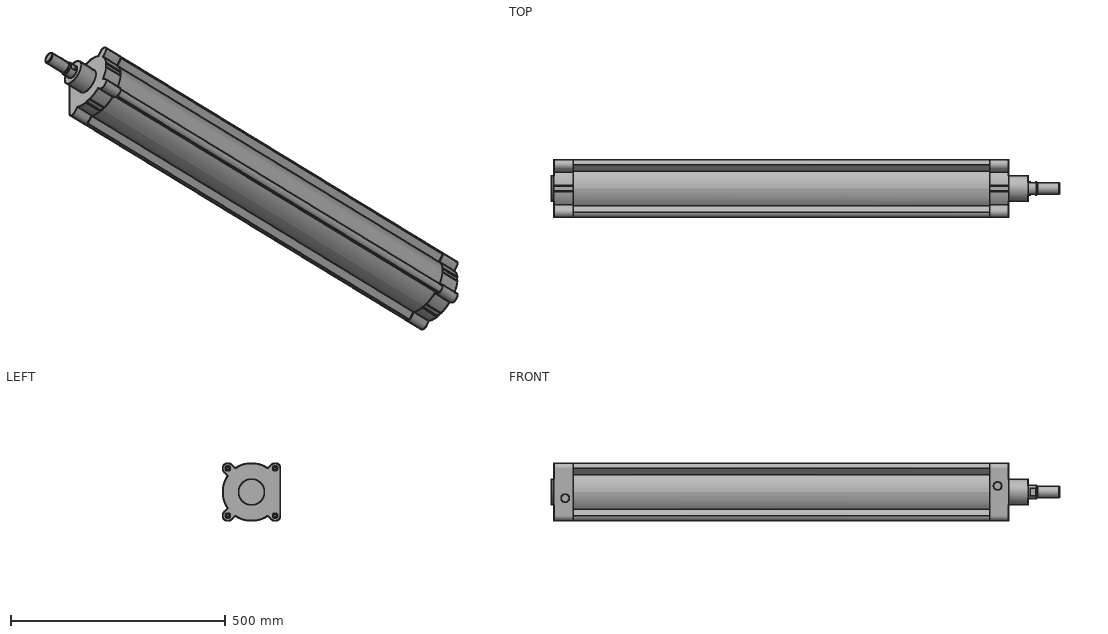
import cadquery as cq
import math

total_length = 1185.0
boss_height = 6.0
rear_cap_length = 45.0
front_cap_length = 44.0
front_face = 1066.0
neck_length = 45.0
thread_length = 51.0

tube_start = boss_height + rear_cap_length
tube_end = front_face - front_cap_length
neck_end = front_face + neck_length
shoulder = total_length - thread_length

half_width = 68.0
ear_diameter = 25.0
ear_radius = ear_diameter / 2
ear_center = half_width - ear_radius

boss_diameter = 60.0
boss_radius = boss_diameter / 2
neck_radius = boss_radius
groove_floor_width = 11.0
groove_mouth_width = 18.0
groove_depth = 1.0
screw_head_radius = 6.0
screw_head_depth = 12.0
screw_hole_radius = 4.0
port_radius = 10.0
port_depth = 12.0
port_offset = 14.0
rear_port_x = 32.0
front_port_x = 1040.0

barrel_diameter = 134.0
barrel_radius = barrel_diameter / 2
ridge_half_width = 8.9

rod_diameter = 32.0
thread_diameter = 27.0
width_across_flats = 27.0
rod_radius = rod_diameter / 2
thread_radius = thread_diameter / 2
flat_half_width = width_across_flats / 2
flat_start = 1116.0
flat_end = 1129.0
shoulder_chamfer = 4.0
thread_chamfer = 1.8


def section_plane(x):
    """Plane across the axis: its local axes are Y and Z, its normal is +X."""
    return cq.Workplane("YZ", origin=(x, 0, 0))


def disc(x, radius, length, y=0, z=0):
    """Cylinder along X, starting at x."""
    return section_plane(x).center(y, z).circle(radius).extrude(length)


def cap_blank(x, length):
    """Round block with four rounded ears on the diagonals and one flat side on -Y."""
    blank = disc(x, half_width, length)
    ear_reach = math.hypot(ear_center, ear_center)
    for angle in (45, 135):
        arms = (
            section_plane(x)
            .transformed(rotate=(0, 0, angle))
            .slot2D(2 * (ear_reach + ear_radius), 2 * ear_radius)
            .extrude(length)
        )
        blank = blank.union(arms)
    flat_side = (
        section_plane(x)
        .center(-half_width / 2, 0)
        .rect(half_width, 2 * ear_center)
        .extrude(length)
    )
    return blank.union(flat_side).cut(cap_grooves(x, length))


def cap_grooves(x, length):
    """Shallow sloping-sided grooves along the middle of the +Z, +Y and -Z sides."""
    floor_y = half_width - groove_depth
    grooves = cq.Workplane("YZ")
    for angle in (0, 90, 270):
        groove = (
            section_plane(x)
            .transformed(rotate=(0, 0, angle))
            .moveTo(floor_y, -groove_floor_width / 2)
            .lineTo(half_width, -groove_mouth_width / 2)
            .lineTo(half_width, groove_mouth_width / 2)
            .lineTo(floor_y, groove_floor_width / 2)
            .close()
            .extrude(length)
        )
        grooves = grooves.add(groove)
    return grooves.combine()


def port(x, z):
    """Blind air port, bored from the flat side."""
    return (
        cq.Workplane("XZ", origin=(x, -half_width, z))
        .circle(port_radius)
        .extrude(-port_depth)
    )


def make_rear_cap():
    """Cap with a centring boss, four counterbored screw holes and a port."""
    cap = cap_blank(boss_height, rear_cap_length)
    cap = cap.union(disc(0, boss_radius, tube_start))
    for y in (-ear_center, ear_center):
        for z in (-ear_center, ear_center):
            cap = cap.cut(disc(boss_height, screw_hole_radius, rear_cap_length, y, z))
            cap = cap.cut(disc(boss_height, screw_head_radius, screw_head_depth, y, z))
    return cap.cut(port(rear_port_x, -port_offset))


def make_front_cap():
    """Cap with a neck that guides the piston rod, and a port."""
    cap = cap_blank(tube_end, front_cap_length)
    cap = cap.union(disc(tube_end, neck_radius, neck_end - tube_end))
    cap = cap.cut(disc(tube_end, rod_radius, neck_end - tube_end))
    return cap.cut(port(front_port_x, port_offset))


def turned(point, quarter):
    """Point (y, z) turned about the axis by a number of quarter turns."""
    y, z = point
    for _ in range(quarter):
        y, z = -z, y
    return y, z


def make_tube():
    """Extrusion: four low ridges, four round walls and four corner ears."""
    ridge_edge_z = math.sqrt(barrel_radius**2 - ridge_half_width**2)
    flank_angle = math.radians(45)
    valley_angle = flank_angle - math.asin(ear_radius * math.sin(flank_angle) / barrel_radius)
    valley = (barrel_radius * math.cos(valley_angle), barrel_radius * math.sin(valley_angle))
    ridge_angle = math.asin(ridge_half_width / barrel_radius)
    mid_angle = (valley_angle + ridge_angle) / 2
    wall_middle = (barrel_radius * math.cos(mid_angle), barrel_radius * math.sin(mid_angle))
    ear_tip = ear_center + ear_radius * math.cos(flank_angle)

    outline = section_plane(tube_start).moveTo(half_width, 0)
    for quarter in range(4):
        outline = (
            outline.lineTo(*turned((ridge_edge_z, ridge_half_width), quarter))
            .threePointArc(turned(wall_middle, quarter), turned(valley, quarter))
            .lineTo(*turned((half_width, ear_center), quarter))
            .threePointArc(
                turned((ear_tip, ear_tip), quarter),
                turned((ear_center, half_width), quarter),
            )
            .lineTo(*turned(valley[::-1], quarter))
            .threePointArc(
                turned(wall_middle[::-1], quarter),
                turned((ridge_half_width, ridge_edge_z), quarter),
            )
        )
        if quarter < 3:
            outline = outline.lineTo(*turned((0, half_width), quarter))
    return outline.close().extrude(tube_end - tube_start)


def make_piston_rod():
    """Plain rod with two wrench flats and a thinner threaded end."""
    rod = disc(tube_end, rod_radius, shoulder - tube_end).faces(">X").chamfer(shoulder_chamfer)
    flat_length = flat_end - flat_start
    flat_middle = (flat_start + flat_end) / 2
    for side in (-1, 1):
        cutter = cq.Workplane("XY").box(flat_length, rod_radius, 2 * rod_radius)
        rod = rod.cut(cutter.translate((flat_middle, side * (flat_half_width + rod_radius / 2), 0)))
    thread = disc(shoulder, thread_radius, thread_length).faces(">X").chamfer(thread_chamfer)
    return rod.union(thread)


rear_cap = make_rear_cap()
tube = make_tube()
front_cap = make_front_cap()
piston_rod = make_piston_rod()

result = cq.Compound.makeCompound([
    rear_cap.solids().val(),
    tube.solids().val(),
    front_cap.solids().val(),
    piston_rod.solids().val(),
])